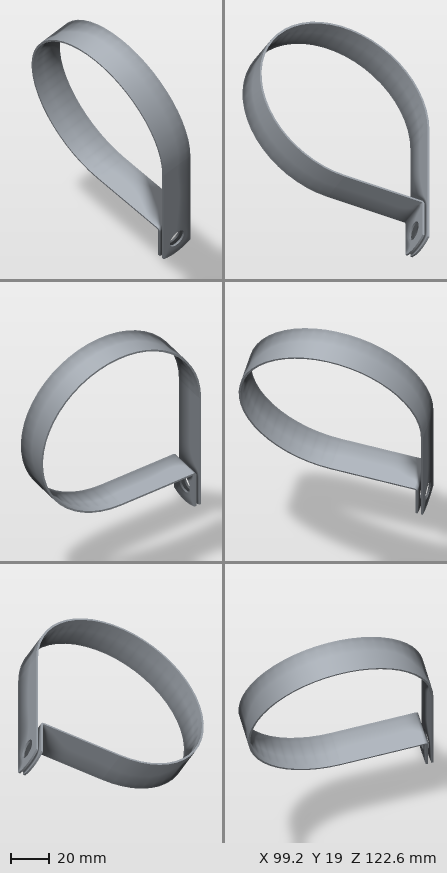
import cadquery as cq
import math

total_height = 122.6
loop_diameter = 99.2
strip_width = 19.0
strip_thickness = 1.1
leg_gap = 1.8
bend_inner_radius = 0.6
hole_diameter = 10.2
hole_height = 11.3
tip_rise = 2.1

outer_radius = loop_diameter / 2
inner_radius = outer_radius - strip_thickness
bend_outer_radius = bend_inner_radius + strip_thickness
tip_z = outer_radius - total_height
short_leg_outer_x = inner_radius - leg_gap
short_leg_inner_x = short_leg_outer_x - strip_thickness
bend_x = short_leg_outer_x - bend_outer_radius
bend_z = -outer_radius - bend_inner_radius
half_width = strip_width / 2
diagonal = math.sqrt(0.5)


def on_bend(radius):
    """Point halfway round the bend at the given radius."""
    return (bend_x + radius * diagonal, bend_z + radius * diagonal)


def on_loop(radius):
    """Point halfway round the three-quarter loop at the given radius."""
    return (-radius * diagonal, radius * diagonal)


def make_strip():
    """Three-quarter loop, long straight leg, flat shelf and bent short leg."""
    return (
        cq.Workplane("XZ")
        .moveTo(outer_radius, tip_z)
        .lineTo(outer_radius, 0)
        .threePointArc(on_loop(outer_radius), (0, -outer_radius))
        .lineTo(bend_x, -outer_radius)
        .threePointArc(on_bend(bend_inner_radius), (short_leg_inner_x, bend_z))
        .lineTo(short_leg_inner_x, tip_z)
        .lineTo(short_leg_outer_x, tip_z)
        .lineTo(short_leg_outer_x, bend_z)
        .threePointArc(on_bend(bend_outer_radius), (bend_x, -inner_radius))
        .lineTo(0, -inner_radius)
        .threePointArc(on_loop(inner_radius), (inner_radius, 0))
        .lineTo(inner_radius, tip_z)
        .close()
        .extrude(half_width, both=True)
    )


def make_side_envelope():
    """Side outline of the strip, with an arc across the leg tips."""
    return (
        cq.Workplane("YZ")
        .moveTo(-half_width, outer_radius)
        .lineTo(-half_width, tip_z + tip_rise)
        .threePointArc((0, tip_z), (half_width, tip_z + tip_rise))
        .lineTo(half_width, outer_radius)
        .close()
        .extrude(outer_radius, both=True)
    )


def make_bolt_hole():
    """Cylinder along X that passes through both legs."""
    return (
        cq.Workplane("YZ")
        .center(0, tip_z + hole_height)
        .circle(hole_diameter / 2)
        .extrude(outer_radius, both=True)
    )


result = make_strip().intersect(make_side_envelope()).cut(make_bolt_hole())